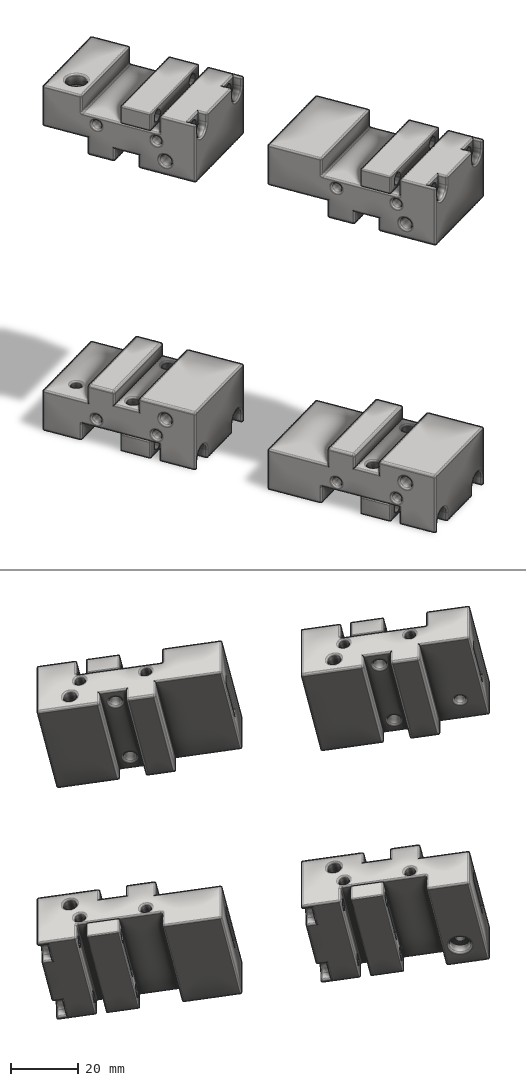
import cadquery as cq
import math

SHORT_LENGTH = 51.0
LONG_LENGTH = 56.0
WIDTH = 32.0
HEIGHT = 20.0
SIDE_GAP = 24.0
TOTAL_LENGTH = SHORT_LENGTH + SIDE_GAP + LONG_LENGTH
TOTAL_HEIGHT = 120.0

REAR_JAW_LENGTH = 12.0
SLOT_LENGTH = 26.0
SLOT_FLOOR_Z = 14.0
FOOT_LENGTH = 36.0
STEP_Z = 6.0
GROOVE_NEAR = 19.0
GROOVE_FAR = 27.0
GROOVE_DEPTH = 4.5
EDGE_FILLET = 0.55
BASE_FILLET = 0.8
SLOT_CORNER_RADIUS = 0.5

BAR_LENGTH = 10.0
BAR_GAP = 3.0
BAR_NEAR = REAR_JAW_LENGTH + BAR_GAP
BAR_FAR = BAR_NEAR + BAR_LENGTH
BAR_HEIGHT = HEIGHT - SLOT_FLOOR_Z
BAR_FILLET = 0.4

RIM_RADIUS = 0.6
CROSS_HOLE_DIAMETER = 3.2
CROSS_HOLE_DISTANCES = (13.0, 33.0)
CROSS_HOLE_Z = 11.2
LARGE_HOLE_DIAMETER = 4.0
LARGE_HOLE_DISTANCE = 10.0
LARGE_HOLE_Z = 5.0
SCREW_HOLE_DIAMETER = 3.4
SCREW_HEAD_DIAMETER = 6.5
BAR_HOLE_DIAMETER = 4.0
SCREW_Y = 11.5
CLAMP_SCREW_Z = SLOT_FLOOR_Z + BAR_HEIGHT / 2
HEAD_NOTCH_DEPTH = 3.0
FLOOR_HOLE_DIAMETER = 4.0
FLOOR_HOLE_DISTANCE = (GROOVE_NEAR + GROOVE_FAR) / 2
TAIL_HOLE_INSET = 7.5
TAIL_HEAD_DEPTH = 3.5

POCKET_WIDTH = 12.5
POCKET_HEIGHT = 2.0
POCKET_RIM_RADIUS = 0.75
POCKET_Y = 2.25
POCKET_RADIUS = 6.0
TAIL_POCKET_Z = 10.0
BAR_POCKET_Z = 16.25

TOLERANCE = 0.01


def round_hole(start, direction, diameter, length):
    """Straight cylinder running from start along direction."""
    return cq.Workplane(obj=cq.Solid.makeCylinder(diameter / 2, length, cq.Vector(*start), cq.Vector(*direction)))


def rounded_rim(start, direction, diameter):
    """Flared plug that rounds over the edge of a hole; direction points into the material."""
    radius = diameter / 2
    arc_inset = RIM_RADIUS * (1 - math.sqrt(0.5))
    flare = (
        cq.Workplane("XZ")
        .lineTo(radius + RIM_RADIUS, 0)
        .threePointArc((radius + arc_inset, arc_inset), (radius, RIM_RADIUS))
        .lineTo(0, RIM_RADIUS)
        .close()
        .revolve(360, (0, 0), (0, 1))
    )
    placement = cq.Plane(origin=start, normal=direction)
    return cq.Workplane(obj=flare.val().moved(cq.Location(placement)))


def through_hole(start, direction, diameter, length):
    """Through hole with both edges rounded over."""
    axis = cq.Vector(*direction)
    end = cq.Vector(*start) + axis * length
    hole = round_hole(start, direction, diameter, length)
    hole = hole.union(rounded_rim(start, direction, diameter))
    return hole.union(rounded_rim(end.toTuple(), (axis * -1).toTuple(), diameter))


def curved_pocket(face_x, center_z):
    """Pocket entering along +X with a flat roof and a floor that curves up to meet it."""
    floor_z = center_z - POCKET_HEIGHT / 2
    roof_z = center_z + POCKET_HEIGHT / 2
    end_angle = math.acos(1 - POCKET_HEIGHT / POCKET_RADIUS)
    depth = POCKET_RADIUS * math.sin(end_angle)
    middle = (
        face_x + POCKET_RADIUS * math.sin(end_angle / 2),
        floor_z + POCKET_RADIUS * (1 - math.cos(end_angle / 2)),
    )
    return (
        cq.Workplane("XZ", origin=(0, POCKET_Y, 0))
        .moveTo(face_x, floor_z)
        .threePointArc(middle, (face_x + depth, roof_z))
        .lineTo(face_x, roof_z)
        .close()
        .extrude(POCKET_WIDTH / 2, both=True)
    )


def with_pocket(body, face_x, center_z):
    """Cut the curved pocket into a front face and round over its rim."""
    rim = cq.selectors.BoxSelector(
        (face_x - TOLERANCE, POCKET_Y - POCKET_WIDTH / 2 - TOLERANCE, center_z - POCKET_HEIGHT),
        (face_x + TOLERANCE, POCKET_Y + POCKET_WIDTH / 2 + TOLERANCE, center_z + POCKET_HEIGHT),
    )
    return body.cut(curved_pocket(face_x, center_z)).edges(rim).fillet(POCKET_RIM_RADIUS)


def head_notch(y):
    """Round-bottomed, open-topped seat for a clamp screw head in the right-hand end face."""
    half_width = SCREW_HEAD_DIAMETER / 2
    return (
        cq.Workplane("YZ", origin=(-HEAD_NOTCH_DEPTH, y, CLAMP_SCREW_Z))
        .moveTo(-half_width, 0)
        .threePointArc((0, -half_width), (half_width, 0))
        .lineTo(half_width, BAR_HEIGHT)
        .lineTo(-half_width, BAR_HEIGHT)
        .close()
        .extrude(HEAD_NOTCH_DEPTH)
    )


def edges_across(corners):
    """Selector for the edges along Y that pass through the given (x, z) outline corners."""
    selector = cq.NearestToPointSelector((corners[0][0], 0, corners[0][1]))
    for x, z in corners[1:]:
        selector = selector + cq.NearestToPointSelector((x, 0, z))
    return selector


def block_blank(length):
    """Stepped, slotted and grooved block with its screw head notches and rounded edges."""
    slot_far = REAR_JAW_LENGTH + SLOT_LENGTH
    outline = [
        (0, 0),
        (0, HEIGHT),
        (-REAR_JAW_LENGTH, HEIGHT),
        (-REAR_JAW_LENGTH, SLOT_FLOOR_Z),
        (-slot_far, SLOT_FLOOR_Z),
        (-slot_far, HEIGHT),
        (-length, HEIGHT),
        (-length, STEP_Z),
        (-FOOT_LENGTH, STEP_Z),
        (-FOOT_LENGTH, 0),
        (-GROOVE_FAR, 0),
        (-GROOVE_FAR, GROOVE_DEPTH),
        (-GROOVE_NEAR, GROOVE_DEPTH),
        (-GROOVE_NEAR, 0),
    ]
    blank = cq.Workplane("XZ").polyline(outline).close().extrude(WIDTH / 2, both=True)
    for y in (-SCREW_Y, SCREW_Y):
        blank = blank.cut(head_notch(y))
    slot_corners = [(-REAR_JAW_LENGTH, SLOT_FLOOR_Z), (-slot_far, SLOT_FLOOR_Z)]
    upper_corners = [
        (-REAR_JAW_LENGTH, HEIGHT),
        (-slot_far, HEIGHT),
        (-length, HEIGHT),
        (-length, STEP_Z),
    ]
    blank = blank.edges(edges_across(slot_corners)).fillet(SLOT_CORNER_RADIUS)
    blank = blank.edges(edges_across(upper_corners)).fillet(EDGE_FILLET)
    blank = blank.faces("<Y or >Y").edges("not (<Z or >X)").fillet(EDGE_FILLET)
    blank = blank.faces("<Z").edges("not >X").fillet(BASE_FILLET)
    notch_rims = cq.selectors.BoxSelector(
        (-HEAD_NOTCH_DEPTH - TOLERANCE, -WIDTH / 2 + EDGE_FILLET, HEIGHT - TOLERANCE),
        (TOLERANCE, WIDTH / 2 - EDGE_FILLET, HEIGHT + TOLERANCE),
    )
    end_rims = cq.selectors.BoxSelector(
        (-TOLERANCE, -WIDTH, -TOLERANCE),
        (TOLERANCE, WIDTH, HEIGHT + TOLERANCE),
    )
    return blank.edges(notch_rims + end_rims).fillet(EDGE_FILLET)


def block(length, has_tail_hole):
    """Complete block with its cross holes, screw holes and front pocket."""
    body = block_blank(length)
    for distance in CROSS_HOLE_DISTANCES:
        body = body.cut(through_hole((-distance, -WIDTH / 2, CROSS_HOLE_Z), (0, 1, 0), CROSS_HOLE_DIAMETER, WIDTH))
    body = body.cut(
        through_hole((-LARGE_HOLE_DISTANCE, -WIDTH / 2, LARGE_HOLE_Z), (0, 1, 0), LARGE_HOLE_DIAMETER, WIDTH)
    )
    for y in (-SCREW_Y, SCREW_Y):
        body = body.cut(
            round_hole((0, y, CLAMP_SCREW_Z), (-1, 0, 0), SCREW_HOLE_DIAMETER, REAR_JAW_LENGTH)
        )
        floor_hole_start = (-FLOOR_HOLE_DISTANCE, y, GROOVE_DEPTH)
        body = body.cut(
            through_hole(floor_hole_start, (0, 0, 1), FLOOR_HOLE_DIAMETER, SLOT_FLOOR_Z - GROOVE_DEPTH)
        )
    if has_tail_hole:
        x = -length + TAIL_HOLE_INSET
        y = -WIDTH / 2 + TAIL_HOLE_INSET
        body = body.cut(through_hole((x, y, STEP_Z), (0, 0, 1), SCREW_HOLE_DIAMETER, HEIGHT - STEP_Z))
        body = body.cut(round_hole((x, y, HEIGHT), (0, 0, -1), SCREW_HEAD_DIAMETER, TAIL_HEAD_DEPTH))
        body = body.cut(rounded_rim((x, y, HEIGHT), (0, 0, -1), SCREW_HEAD_DIAMETER))
    return with_pocket(body, -length, TAIL_POCKET_Z)


def bar():
    """Loose bar with two clamp screw holes and a front pocket."""
    body = (
        cq.Workplane("XY", origin=(-BAR_NEAR - BAR_LENGTH / 2, 0, SLOT_FLOOR_Z + BAR_HEIGHT / 2))
        .box(BAR_LENGTH, WIDTH, BAR_HEIGHT)
        .edges()
        .fillet(BAR_FILLET)
    )
    for y in (-SCREW_Y, SCREW_Y):
        body = body.cut(round_hole((-BAR_NEAR, y, CLAMP_SCREW_Z), (-1, 0, 0), BAR_HOLE_DIAMETER, BAR_LENGTH))
    return with_pocket(body, -BAR_FAR, BAR_POCKET_Z)


SHORT_END_X = -TOTAL_LENGTH / 2 + SHORT_LENGTH
LONG_END_X = TOTAL_LENGTH / 2
UPPER_BASE_Z = TOTAL_HEIGHT / 2 - HEIGHT

bodies = []
for length, end_x, has_tail_hole in ((SHORT_LENGTH, SHORT_END_X, True), (LONG_LENGTH, LONG_END_X, False)):
    for part in (block(length, has_tail_hole), bar()):
        upper = part.translate((end_x, 0, UPPER_BASE_Z))
        bodies += [upper.val(), upper.mirror("XY").val()]

result = cq.Compound.makeCompound(bodies)